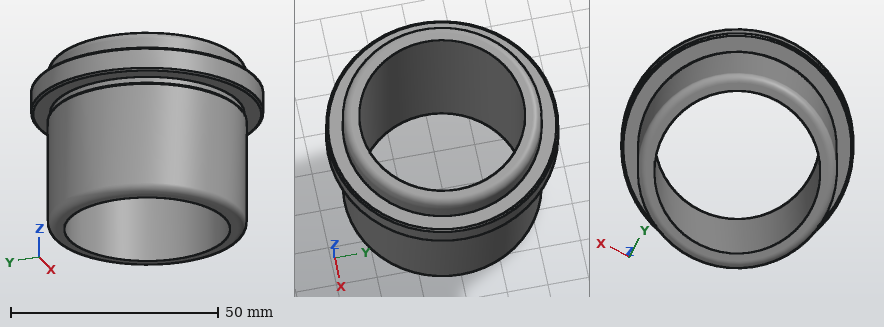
import cadquery as cq

flange_diameter = 56.0
total_height = 42.0
body_diameter = 48.0
bore_diameter = 39.95

flange_bottom = 30.0
flange_thickness = 6.0
flange_chamfer = 0.5

groove_depth = 0.5
groove_bottom = 28.5
groove_taper_height = 0.5

rim_radius = 2.0

flange_radius = flange_diameter / 2
body_radius = body_diameter / 2
bore_radius = bore_diameter / 2
groove_radius = body_radius - groove_depth


def make_body():
    """Plain sleeve with rounded outer rims."""
    body = cq.Workplane("XY").circle(body_radius).extrude(total_height)
    return body.faces("<Z or >Z").edges().fillet(rim_radius)


def make_flange():
    """Collar with both outer edges chamfered."""
    flange = cq.Workplane("XY").workplane(offset=flange_bottom).circle(flange_radius)
    return flange.extrude(flange_thickness).edges().chamfer(flange_chamfer)


def make_groove():
    """Ring to remove under the flange, with a tapered lower wall."""
    profile = cq.Workplane("XZ").polyline([
        (body_radius, groove_bottom - groove_taper_height),
        (groove_radius, groove_bottom),
        (groove_radius, flange_bottom),
        (flange_radius, flange_bottom),
        (flange_radius, groove_bottom - groove_taper_height),
    ]).close()
    return profile.revolve(360, (0, 0, 0), (0, 1, 0))


bore = cq.Workplane("XY").circle(bore_radius).extrude(total_height)

result = make_body().cut(make_groove()).union(make_flange()).cut(bore)